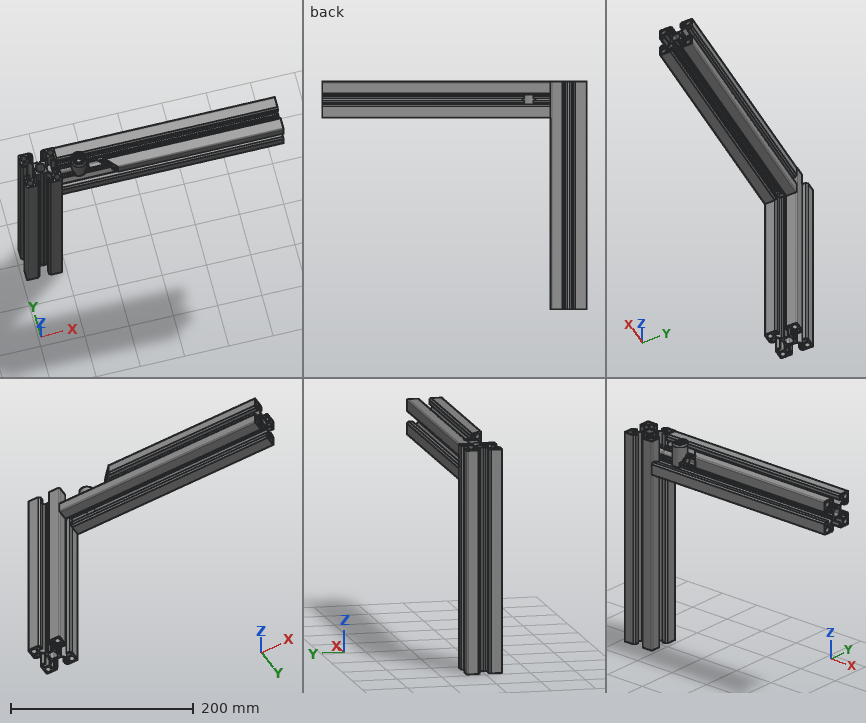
import cadquery as cq
import math

profile_side = 40.0
profile_length = 250.0
half_side = profile_side / 2
beam_start = half_side
beam_axis_z = profile_length - half_side

outer_corner_radius = 1.5
corner_block = 10.0
corner_hole_diameter = 6.7
slot_opening = 10.2
slot_chamfer = 2.0
flange_thickness = 2.0
lip_thickness = 1.7
cavity_chamfer = 1.2
lip_depth = 6.5
hub_side = 14.0
hub_ridge_width = 7.0
hub_ridge_height = 0.17
hub_groove_radius = 1.5
bore_side = 9.3
bore_fillet = 2.5
web_thickness = 1.6

cutaway_axis_length = 44.7
cutaway_face_length = 63.2

barrel_distance = 23.5
barrel_diameter = 17.5
barrel_top_drop = 1.0
barrel_chamfer = 2.0
barrel_x = beam_start + barrel_distance
barrel_top_z = profile_length - barrel_top_drop
barrel_bottom_z = beam_axis_z - hub_side / 2
screw_diameter = 9.5
screw_chamfer = 0.5
screw_drop = 1.5
socket_flats = 6.0
socket_depth = 4.4

neck_diameter = 9.3
neck_overrun = 0.5
neck_taper = 1.7
shank_diameter = 8.7
bolt_end_x = 54.2
bolt_end_chamfer = 0.5
head_width = 15.0
head_height = 10.0
head_thickness = 5.2
head_chamfer = 1.2
head_seat_x = half_side - lip_depth


def make_slot():
    """Slot void on the +Y side: opening between the lips, cavity behind them, ridged hub face."""
    opening = slot_opening / 2
    cavity = half_side - corner_block
    lip_back = opening + lip_thickness
    hub = hub_side / 2
    web_offset = web_thickness / math.sqrt(2)
    ridge = hub_ridge_width / 2
    ridge_top = hub + hub_ridge_height
    half = [
        (opening + slot_chamfer, half_side),
        (opening, half_side - slot_chamfer),
        (opening, half_side - lip_depth),
        (lip_back, half_side - lip_depth),
        (lip_back, half_side - flange_thickness - cavity_chamfer),
        (lip_back + cavity_chamfer, half_side - flange_thickness),
        (cavity, half_side - flange_thickness),
        (cavity, cavity + web_offset),
        (hub - web_offset, hub),
        (ridge, hub),
        (ridge, ridge_top),
    ]
    outline = half + [(-x, y) for x, y in reversed(half)]
    void = cq.Workplane("XY").polyline(outline).close().extrude(profile_length)
    groove = (
        cq.Workplane("XY")
        .center(0, ridge_top)
        .circle(hub_groove_radius)
        .extrude(profile_length)
    )
    return void.union(groove)


def profile_bar():
    """One length of T-slot profile standing on Z = 0."""
    bar = (
        cq.Workplane("XY")
        .rect(profile_side, profile_side)
        .extrude(profile_length)
        .edges("|Z")
        .fillet(outer_corner_radius)
    )
    slot = make_slot()
    for quarter in range(4):
        bar = bar.cut(slot.rotate((0, 0, 0), (0, 0, 1), 90 * quarter))
    bore = (
        cq.Workplane("XY")
        .rect(bore_side, bore_side)
        .extrude(profile_length)
        .edges("|Z")
        .fillet(bore_fillet)
    )
    hole_pitch = profile_side - corner_block
    corner_holes = (
        cq.Workplane("XY")
        .rect(hole_pitch, hole_pitch, forConstruction=True)
        .vertices()
        .circle(corner_hole_diameter / 2)
        .extrude(profile_length)
    )
    return bar.cut(bore).cut(corner_holes)


def barrel_cylinder(top_z):
    """Plain cylinder of the barrel, from its bottom up to the given height."""
    return (
        cq.Workplane("XY", origin=(barrel_x, 0, barrel_bottom_z))
        .circle(barrel_diameter / 2)
        .extrude(top_z - barrel_bottom_z)
    )


def make_beam():
    """Profile laid along +X, with the barrel hole and the quarter cutaway."""
    beam = (
        profile_bar()
        .rotate((0, 0, 0), (0, 1, 0), 90)
        .translate((beam_start, 0, beam_axis_z))
    )
    cutaway = (
        cq.Workplane("XY", origin=(beam_start, 0, beam_axis_z))
        .polyline([
            (0, 0),
            (cutaway_axis_length, 0),
            (cutaway_face_length, -half_side),
            (0, -half_side),
        ])
        .close()
        .extrude(half_side)
    )
    return beam.cut(cutaway).cut(barrel_cylinder(profile_length))


def make_bolt():
    """Hammer-head bolt along X: head behind the post lips, shank in the beam bore."""
    head = (
        cq.Workplane("XY")
        .box(head_thickness, head_width, head_height, centered=(False, True, True))
        .edges("<X and |Z")
        .chamfer(head_chamfer)
        .translate((head_seat_x - head_thickness, 0, beam_axis_z))
    )
    shank = (
        cq.Workplane("YZ", origin=(head_seat_x, 0, beam_axis_z))
        .circle(shank_diameter / 2)
        .extrude(bolt_end_x - head_seat_x)
        .faces(">X")
        .chamfer(bolt_end_chamfer)
    )
    neck_radius = neck_diameter / 2
    neck_step = neck_radius - shank_diameter / 2
    neck_length = beam_start + neck_overrun + neck_taper - head_seat_x
    neck = (
        cq.Workplane("YZ", origin=(head_seat_x, 0, beam_axis_z))
        .circle(neck_radius)
        .extrude(neck_length)
        .faces(">X")
        .edges()
        .chamfer(neck_taper, neck_step)
    )
    return head.union(shank).union(neck)


def make_barrel(bolt):
    """Barrel with a screw bore from the top, crossed by the bolt."""
    barrel = barrel_cylinder(barrel_top_z).faces(">Z").edges().chamfer(barrel_chamfer)
    screw_bore = (
        cq.Workplane("XY", origin=(barrel_x, 0, beam_axis_z))
        .circle(screw_diameter / 2)
        .extrude(half_side)
    )
    return barrel.cut(screw_bore).cut(bolt)


def make_set_screw():
    """Set screw in the barrel, bearing on the crest of the bolt."""
    bottom_z = beam_axis_z + shank_diameter / 2
    top_z = barrel_top_z - screw_drop
    socket = (
        cq.Workplane("XY", origin=(barrel_x, 0, top_z - socket_depth))
        .polygon(6, socket_flats, circumscribed=True)
        .extrude(socket_depth)
    )
    return (
        cq.Workplane("XY", origin=(barrel_x, 0, bottom_z))
        .circle(screw_diameter / 2)
        .extrude(top_z - bottom_z)
        .faces(">Z")
        .edges()
        .chamfer(screw_chamfer)
        .cut(socket)
    )


post = profile_bar()
beam = make_beam()
bolt = make_bolt()
barrel = make_barrel(bolt)
set_screw = make_set_screw()

result = cq.Compound.makeCompound([
    post.val(),
    beam.val(),
    bolt.val(),
    barrel.val(),
    set_screw.val(),
])